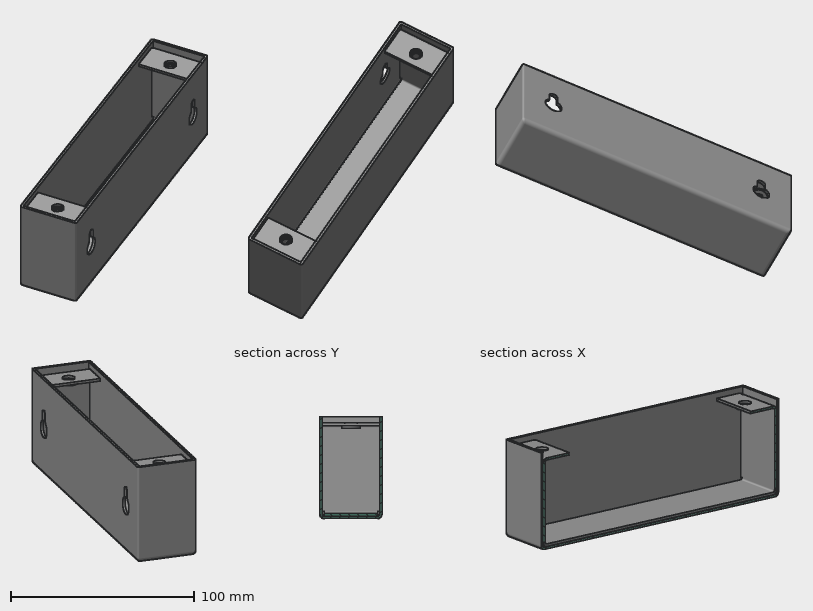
import cadquery as cq

WIDTH = 34.2
LENGTH = 164.2
HEIGHT = 55.7

SHEET = 1.5
INNER_BEND = 1.0
OUTER_BEND = SHEET + INNER_BEND
CORNER_RADIUS = 1.0

FLANGE_DROP = 3.5
FLANGE_REACH = 19.4
FLANGE_TOP = HEIGHT - FLANGE_DROP
FLANGE_BOTTOM = FLANGE_TOP - SHEET

NUT_INSET = 12.0
NUT_HOLE = 6.7
NUT_BORE = 4.5
NUT_COUNTERSINK = 5.0
NUT_DIAMETER = 9.9
NUT_HEIGHT = 1.5

KEYHOLE_INSET = 18.7
KEYHOLE_HEAD = 9.9
KEYHOLE_SLOT = 5.0
KEYHOLE_HEAD_Z = 26.8
KEYHOLE_SLOT_Z = 35.3

CENTER_X = WIDTH / 2
INNER_WIDTH = WIDTH - 2 * SHEET
INNER_LENGTH = LENGTH - 2 * SHEET


def both_ends(inset):
    """Y positions at the given distance from each end of the box."""
    return (inset, LENGTH - inset)


def make_keyhole(y):
    """Cutter for one keyhole through the +X wall."""
    wall = cq.Workplane("YZ", origin=(WIDTH - SHEET, y, 0))
    head = wall.center(0, KEYHOLE_HEAD_Z).circle(KEYHOLE_HEAD / 2).extrude(SHEET)
    slot_length = KEYHOLE_SLOT_Z - KEYHOLE_HEAD_Z + KEYHOLE_SLOT
    slot_center_z = (KEYHOLE_HEAD_Z + KEYHOLE_SLOT_Z) / 2
    slot = wall.center(0, slot_center_z).slot2D(slot_length, KEYHOLE_SLOT, 90).extrude(SHEET)
    return head.union(slot)


def make_cavity():
    """Space inside the housing, rounded along the floor."""
    return (
        cq.Workplane("XY", origin=(SHEET, SHEET, SHEET))
        .box(INNER_WIDTH, INNER_LENGTH, HEIGHT - SHEET, centered=False)
        .faces("<Z").edges().fillet(INNER_BEND)
    )


def make_housing():
    """Box folded from sheet, open at the top, with rounded vertical corners."""
    outside = (
        cq.Workplane("XY")
        .box(WIDTH, LENGTH, HEIGHT, centered=False)
        .edges("|Z").fillet(CORNER_RADIUS)
        .faces("<Z").edges().fillet(OUTER_BEND)
    )
    housing = outside.cut(make_cavity())
    for y in both_ends(KEYHOLE_INSET):
        housing = housing.cut(make_keyhole(y))
    return housing


def make_bracket():
    """C-shaped sheet bracket standing on the housing floor between the end walls."""
    leg_height = FLANGE_TOP - SHEET
    bracket = (
        cq.Workplane("XY", origin=(SHEET, SHEET, SHEET))
        .box(INNER_WIDTH, INNER_LENGTH, leg_height, centered=False)
        .edges("|X").fillet(OUTER_BEND)
    )
    core = (
        cq.Workplane("XY", origin=(SHEET, 2 * SHEET, 2 * SHEET))
        .box(INNER_WIDTH, INNER_LENGTH - 2 * SHEET, leg_height - 2 * SHEET, centered=False)
        .edges("|X").fillet(INNER_BEND)
    )
    opening = cq.Workplane("XY", origin=(SHEET, FLANGE_REACH, FLANGE_BOTTOM)).box(
        INNER_WIDTH, LENGTH - 2 * FLANGE_REACH, SHEET, centered=False
    )
    bracket = bracket.cut(core).cut(opening)

    for x in (SHEET, WIDTH - OUTER_BEND):
        relief = cq.Workplane("XY", origin=(x, SHEET, SHEET)).box(
            INNER_BEND, INNER_LENGTH, OUTER_BEND, centered=False
        )
        bracket = bracket.cut(relief)

    for y in both_ends(NUT_INSET):
        hole = cq.Workplane("XY", origin=(CENTER_X, y, FLANGE_BOTTOM)).circle(NUT_HOLE / 2).extrude(SHEET)
        bracket = bracket.cut(hole)
    return bracket


def make_nut(y):
    """Round nut under a bracket flange, with a countersunk bore."""
    countersink = (NUT_COUNTERSINK - NUT_BORE) / 2
    return (
        cq.Workplane("XY", origin=(CENTER_X, y, FLANGE_BOTTOM - NUT_HEIGHT))
        .circle(NUT_DIAMETER / 2)
        .circle(NUT_BORE / 2)
        .extrude(NUT_HEIGHT)
        .faces(">Z").edges("%CIRCLE").edges(cq.selectors.RadiusNthSelector(0))
        .chamfer(countersink)
    )


housing = make_housing()
bracket = make_bracket()
nuts = [make_nut(y) for y in both_ends(NUT_INSET)]

result = cq.Compound.makeCompound([housing.val(), bracket.val(), *[nut.val() for nut in nuts]])